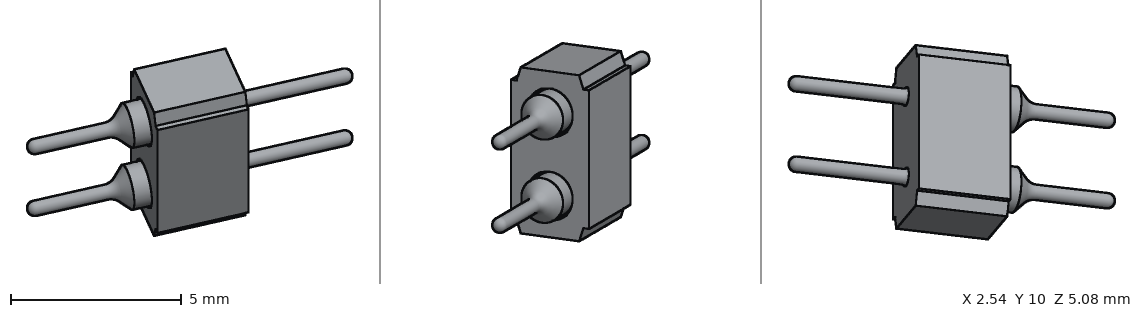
import cadquery as cq
import math

HOUSING_WIDTH = 2.54
HOUSING_HEIGHT = 5.08
HOUSING_DEPTH = 2.81
STEP_HEIGHT = 0.42
STEP_BASE_WIDTH = 2.18
STEP_TOP_WIDTH = 1.9

PIN_LENGTH = 10.01
PIN_PITCH = 2.54
PIN_COUNT = 2
PIN_RADIUS = 0.23
COLLAR_RADIUS = 0.68
COLLAR_PROTRUSION = 0.52
CONE_ANGLE = math.radians(45)
NECK_FILLET_RADIUS = 0.5
ROOT_FILLET_RADIUS = 0.17
ROOT_FILLET_LENGTH = 0.12

RECESS_RADIUS = 0.74
RECESS_DEPTH = 0.2

REAR_WALL = RECESS_DEPTH

FRONT_FACE = -HOUSING_DEPTH / 2
REAR_FACE = HOUSING_DEPTH / 2
COLLAR_REAR = REAR_FACE - REAR_WALL
ROOT_RADIUS = PIN_RADIUS + ROOT_FILLET_RADIUS - math.sqrt(
    ROOT_FILLET_RADIUS**2 - ROOT_FILLET_LENGTH**2
)


def pin_heights():
    """Z position of each pin axis, centred on the housing."""
    return [(i - (PIN_COUNT - 1) / 2) * PIN_PITCH for i in range(PIN_COUNT)]


def cylinder_along_y(radius, y_start, y_end, z):
    return cq.Workplane(
        cq.Solid.makeCylinder(radius, y_end - y_start, cq.Vector(0, y_start, z), cq.Vector(0, 1, 0))
    )


def make_housing():
    half_width = HOUSING_WIDTH / 2
    half_height = HOUSING_HEIGHT / 2
    shoulder = half_height - STEP_HEIGHT
    half_base = STEP_BASE_WIDTH / 2
    half_top = STEP_TOP_WIDTH / 2
    right_side = [
        (half_top, -half_height),
        (half_base, -shoulder),
        (half_width, -shoulder),
        (half_width, shoulder),
        (half_base, shoulder),
        (half_top, half_height),
    ]
    left_side = [(-x, z) for x, z in reversed(right_side)]
    housing = (
        cq.Workplane("XZ")
        .polyline(right_side + left_side)
        .close()
        .extrude(HOUSING_DEPTH / 2, both=True)
    )
    for z in pin_heights():
        housing = housing.cut(cylinder_along_y(ROOT_RADIUS, FRONT_FACE, REAR_FACE, z))
        housing = housing.cut(cylinder_along_y(COLLAR_RADIUS, FRONT_FACE, COLLAR_REAR, z))
        housing = housing.cut(cylinder_along_y(RECESS_RADIUS, FRONT_FACE, FRONT_FACE + RECESS_DEPTH, z))
    return housing


def make_pin(z):
    """Half profile (radius, y), revolved about the Y axis and raised to height z."""
    tip = PIN_LENGTH / 2
    dome_base = tip - PIN_RADIUS
    dome_offset = PIN_RADIUS * math.sin(math.radians(45))

    collar_front = FRONT_FACE - COLLAR_PROTRUSION
    cone_end_radius = PIN_RADIUS + NECK_FILLET_RADIUS * (1 - math.cos(CONE_ANGLE))
    cone_end = collar_front - (COLLAR_RADIUS - cone_end_radius) / math.tan(CONE_ANGLE)
    neck_end = cone_end - NECK_FILLET_RADIUS * math.sin(CONE_ANGLE)
    neck_mid_radius = PIN_RADIUS + NECK_FILLET_RADIUS * (1 - math.cos(CONE_ANGLE / 2))
    neck_mid = neck_end + NECK_FILLET_RADIUS * math.sin(CONE_ANGLE / 2)

    root_end = REAR_FACE + ROOT_FILLET_LENGTH
    root_angle = math.asin(ROOT_FILLET_LENGTH / ROOT_FILLET_RADIUS)
    root_mid_radius = PIN_RADIUS + ROOT_FILLET_RADIUS * (1 - math.cos(root_angle / 2))
    root_mid = root_end - ROOT_FILLET_RADIUS * math.sin(root_angle / 2)

    return (
        cq.Workplane("XY")
        .moveTo(0, -tip)
        .threePointArc((dome_offset, -dome_base - dome_offset), (PIN_RADIUS, -dome_base))
        .lineTo(PIN_RADIUS, neck_end)
        .threePointArc((neck_mid_radius, neck_mid), (cone_end_radius, cone_end))
        .lineTo(COLLAR_RADIUS, collar_front)
        .lineTo(COLLAR_RADIUS, COLLAR_REAR)
        .lineTo(ROOT_RADIUS, COLLAR_REAR)
        .lineTo(ROOT_RADIUS, REAR_FACE)
        .threePointArc((root_mid_radius, root_mid), (PIN_RADIUS, root_end))
        .lineTo(PIN_RADIUS, dome_base)
        .threePointArc((dome_offset, dome_base + dome_offset), (0, tip))
        .close()
        .revolve(360, (0, 0, 0), (0, 1, 0))
        .translate((0, 0, z))
    )


housing = make_housing()
pins = [make_pin(z) for z in pin_heights()]

result = cq.Compound.makeCompound([housing.val(), *[pin.val() for pin in pins]])